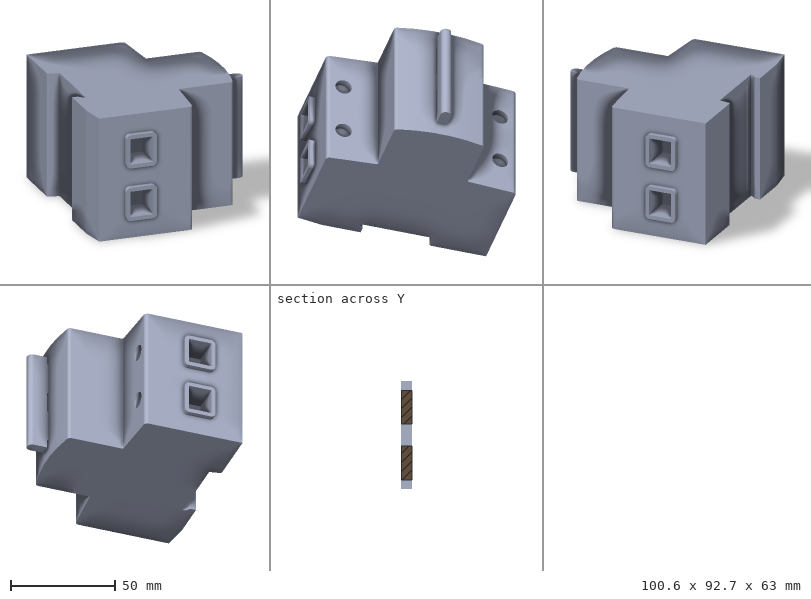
import cadquery as cq
import math


overall_width = 100.6
body_width = 95.1
pole_width = 26.9
end_wall = 4.6
pole_height = pole_width + end_wall
pole_mid_z = pole_width / 2

crest_y = 82.5
nose_width = 45.0
crest_radius = 90.5
nose_corner_radius = 1.7
shoulder_root_y = 51.8
shoulder_slope = 4.3
shoulder_corner_radius = 2.0
root_radius = 0.5

recess_depth = 5.9
recess_left_x = -18.1
foot_tip_x = -19.1
foot_tip_radius = 1.0
recess_right_x = 17.6
hook_tip_x = 15.4
hook_top_y = 4.8
hook_tip_y = 2.8

taper_start_x = 34.9
taper_rise = 1.9
taper_blend_radius = 18.1

rib_x = 13.6
rib_width = 1.6
rib_height = 0.3

collar_size_y = 15.6
collar_size_z = 17.0
collar_mid_y = 22.7
collar_corner_radius = 2.2
collar_wall = 2.0
collar_reach = (overall_width - body_width) / 2
socket_depth = 15.1

screw_x = 39.2
screw_diameter = 8.0
screw_depth = 5.0

toggle_top_y = 92.7
toggle_thickness = 5.2
toggle_length = 51.7
toggle_clearance = 0.8
leg_width = 16.5

half_width = body_width / 2
nose_half = nose_width / 2


def housing_block():
    """Extruded outline of one pole, from Z = 0 to its outer face."""
    crest_drop = crest_radius - math.sqrt(crest_radius**2 - nose_half**2)
    nose_side_y = crest_y - crest_drop
    shoulder_drop = (half_width - nose_half) * math.tan(math.radians(shoulder_slope))
    shoulder_end_y = shoulder_root_y - shoulder_drop

    block = (
        cq.Workplane("XY")
        .moveTo(-half_width, 0)
        .lineTo(foot_tip_x, 0)
        .lineTo(recess_left_x, recess_depth)
        .lineTo(recess_right_x, recess_depth)
        .lineTo(recess_right_x, hook_top_y)
        .lineTo(hook_tip_x, hook_tip_y)
        .lineTo(hook_tip_x, 0)
        .lineTo(taper_start_x, 0)
        .lineTo(half_width, taper_rise)
        .lineTo(half_width, shoulder_end_y)
        .lineTo(nose_half, shoulder_root_y)
        .lineTo(nose_half, nose_side_y)
        .threePointArc((0, crest_y), (-nose_half, nose_side_y))
        .lineTo(-nose_half, shoulder_root_y)
        .lineTo(-half_width, shoulder_end_y)
        .close()
        .extrude(pole_height)
    )

    rounded_corners = [
        (foot_tip_x, 0, foot_tip_radius),
        (taper_start_x, 0, taper_blend_radius),
    ]
    for side in (-1, 1):
        rounded_corners += [
            (side * half_width, shoulder_end_y, shoulder_corner_radius),
            (side * nose_half, shoulder_root_y, root_radius),
            (side * nose_half, nose_side_y, nose_corner_radius),
        ]
    for x, y, radius in rounded_corners:
        corner = cq.NearestToPointSelector((x, y, pole_height / 2))
        block = block.edges("|Z").edges(corner).fillet(radius)
    return block


def rib():
    """Low rounded rib on the recess floor, along the working width only."""
    return (
        cq.Workplane("XY")
        .moveTo(rib_x - rib_width / 2, recess_depth)
        .threePointArc((rib_x, recess_depth - rib_height), (rib_x + rib_width / 2, recess_depth))
        .close()
        .extrude(pole_width)
    )


def collar(side):
    """Rounded terminal collar standing out from the side wall at X = side * half_width."""
    return (
        cq.Workplane("XY")
        .box(collar_reach, collar_size_y, collar_size_z)
        .edges("|X")
        .fillet(collar_corner_radius)
        .translate((side * (half_width + collar_reach / 2), collar_mid_y, pole_mid_z))
    )


def socket(side):
    """Rectangular wire pocket entering through the collar."""
    opening_y = collar_size_y - 2 * collar_wall
    opening_z = collar_size_z - 2 * collar_wall
    mid_x = side * (half_width + collar_reach - socket_depth / 2)
    return (
        cq.Workplane("XY")
        .box(socket_depth, opening_y, opening_z)
        .translate((mid_x, collar_mid_y, pole_mid_z))
    )


def screw_hole(side):
    """Blind round hole sunk into the shoulder."""
    floor_y = shoulder_root_y - screw_depth
    hole = cq.Solid.makeCylinder(
        screw_diameter / 2,
        2 * screw_depth,
        cq.Vector(side * screw_x, floor_y, pole_mid_z),
        cq.Vector(0, 1, 0),
    )
    return cq.Workplane(hole)


def pole_housing(direction):
    """One pole with its end wall, on the +Z or -Z side of the joint at Z = 0."""
    housing = housing_block().union(rib())
    for side in (-1, 1):
        housing = housing.union(collar(side)).cut(socket(side)).cut(screw_hole(side))
    if direction < 0:
        housing = housing.mirror("XY")
    return housing


def toggle(housings):
    """Round-topped bar across both poles, on one leg per pole shaped to the crest."""
    half_thickness = toggle_thickness / 2
    bar_bottom_y = crest_y + toggle_clearance
    bar = (
        cq.Workplane("XY")
        .moveTo(-half_thickness, bar_bottom_y)
        .lineTo(half_thickness, bar_bottom_y)
        .lineTo(half_thickness, toggle_top_y - half_thickness)
        .threePointArc((0, toggle_top_y), (-half_thickness, toggle_top_y - half_thickness))
        .close()
        .extrude(toggle_length / 2, both=True)
    )
    leg_height = 2 * toggle_clearance
    for direction in (-1, 1):
        leg = (
            cq.Workplane("XY")
            .box(toggle_thickness, leg_height, leg_width)
            .translate((0, bar_bottom_y - leg_height / 2, direction * pole_mid_z))
        )
        bar = bar.union(leg)
    for housing in housings:
        bar = bar.cut(housing)
    return bar


pole_housings = [pole_housing(direction) for direction in (1, -1)]
tie_toggle = toggle(pole_housings)

bodies = [body.solids().val() for body in (*pole_housings, tie_toggle)]
result = cq.Compound.makeCompound(bodies)